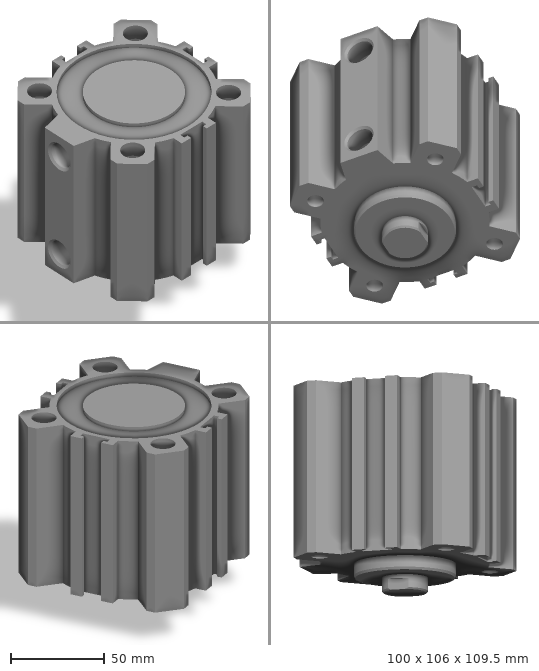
import cadquery as cq

total_height = 109.5
square_size = 100.0
half_square = square_size / 2
total_depth = 106.0

rod_length = 8.0
collar_height = 7.6
collar_bottom = rod_length
barrel_bottom = collar_bottom + collar_height
barrel_height = total_height - barrel_bottom

barrel_diameter = 90.9

lug_width = 23.7
lug_reach = 62.5
bolt_offset = 35.9
bolt_diameter = 9.0
counterbore_diameter = 13.5
counterbore_depth = 9.0

rail_width = 25.6
rail_inner_end = 38.3
slot_mouth_width = 11.7
slot_width = 16.4
slot_depth = 5.9
lip_thickness = 2.7

boss_face_y = half_square - total_depth
boss_face_width = 22.2
boss_root_y = -42.7
boss_root_width = 28.6

port_diameter = 15.0
port_mouth_diameter = 17.5
port_depth = 12.0
port_end_distance = 13.7

recess_diameter = 83.2
recess_depth = 2.5
disc_diameter = 55.0

collar_diameter = disc_diameter
collar_chamfer_width = 0.8
collar_chamfer_height = 1.3
rod_diameter = 25.0
rod_chamfer = 0.9
flat_spacing = 22.0
flat_length = 5.9


def block(x_size, y_size, z_bottom, height):
    """Upright block centred on the axis."""
    return cq.Workplane("XY").workplane(offset=z_bottom).rect(x_size, y_size).extrude(height)


def cylinder(diameter, z_bottom, height):
    """Upright cylinder on the axis."""
    return cq.Workplane("XY").workplane(offset=z_bottom).circle(diameter / 2).extrude(height)


def corner_lugs():
    """Two diagonal bars, trimmed to the square, that form the four lugs."""
    bar = block(2 * lug_reach, lug_width, barrel_bottom, barrel_height)
    rising_bar = bar.rotate((0, 0, 0), (0, 0, 1), 45)
    falling_bar = bar.rotate((0, 0, 0), (0, 0, 1), -45)
    square = block(square_size, square_size, barrel_bottom, barrel_height)
    return rising_bar.union(falling_bar).intersect(square)


def bar_along_x(x_start, x_end, width):
    """Barrel-high bar from x_start to x_end, centred on Y = 0."""
    return block(x_end - x_start, width, barrel_bottom, barrel_height).translate(((x_start + x_end) / 2, 0, 0))


def rail(angle):
    """Solid rail, turned by angle from the +X side."""
    return bar_along_x(rail_inner_end, half_square, rail_width).rotate((0, 0, 0), (0, 0, 1), angle)


def rail_slot(angle):
    """T-shaped slot that is cut from a rail."""
    slot_floor = half_square - slot_depth
    mouth = bar_along_x(slot_floor, half_square, slot_mouth_width)
    wide_part = bar_along_x(slot_floor, half_square - lip_thickness, slot_width)
    return mouth.union(wide_part).rotate((0, 0, 0), (0, 0, 1), angle)


def port_boss():
    """Boss that tapers from the barrel to its front face."""
    outline = [
        (-boss_face_width / 2, boss_face_y),
        (boss_face_width / 2, boss_face_y),
        (boss_root_width / 2, boss_root_y),
        (-boss_root_width / 2, boss_root_y),
    ]
    return cq.Workplane("XY").workplane(offset=barrel_bottom).polyline(outline).close().extrude(barrel_height)


def port(z_center):
    """Blind port with a 45-degree countersunk mouth, running in from the boss face."""
    port_radius = port_diameter / 2
    mouth_radius = port_mouth_diameter / 2
    mouth_depth = mouth_radius - port_radius
    half_profile = [
        (0, boss_face_y),
        (mouth_radius, boss_face_y),
        (port_radius, boss_face_y + mouth_depth),
        (port_radius, boss_face_y + port_depth),
        (0, boss_face_y + port_depth),
    ]
    cutter = cq.Workplane("XY").polyline(half_profile).close().revolve(360, (0, 0), (0, 1))
    return cutter.translate((0, 0, z_center))


def top_recess():
    """Ring-shaped recess that leaves the disc standing flush with the upper end."""
    recess_floor = total_height - recess_depth
    return cylinder(recess_diameter, recess_floor, recess_depth).cut(
        cylinder(disc_diameter, recess_floor, recess_depth)
    )


def collar():
    """Collar under the barrel with a chamfered lower edge."""
    return (
        cylinder(collar_diameter, collar_bottom, collar_height)
        .faces("<Z")
        .chamfer(collar_chamfer_height, collar_chamfer_width)
    )


def make_housing():
    """Barrel with lugs, rails, port boss and collar."""
    housing = cylinder(barrel_diameter, barrel_bottom, barrel_height).union(corner_lugs()).union(port_boss())
    for angle in (0, 90, 180):
        housing = housing.union(rail(angle)).cut(rail_slot(angle))
    housing = housing.cut(top_recess()).union(collar())
    for z_center in (barrel_bottom + port_end_distance, total_height - port_end_distance):
        housing = housing.cut(port(z_center))
    return (
        housing.faces(">Z")
        .workplane(origin=(0, 0, total_height))
        .rect(2 * bolt_offset, 2 * bolt_offset, forConstruction=True)
        .vertices()
        .cboreHole(bolt_diameter, counterbore_diameter, counterbore_depth)
    )


def make_rod():
    """Rod standing against the collar, with a chamfered end and two wrench flats."""
    rod = cylinder(rod_diameter, 0, rod_length).faces("<Z").chamfer(rod_chamfer)
    shank = cylinder(rod_diameter, flat_length, rod_length - flat_length)
    flatted_end = block(flat_spacing, rod_diameter, 0, flat_length)
    return rod.intersect(flatted_end.union(shank))


housing = make_housing()
rod = make_rod()

result = cq.Compound.makeCompound([housing.val(), rod.val()])